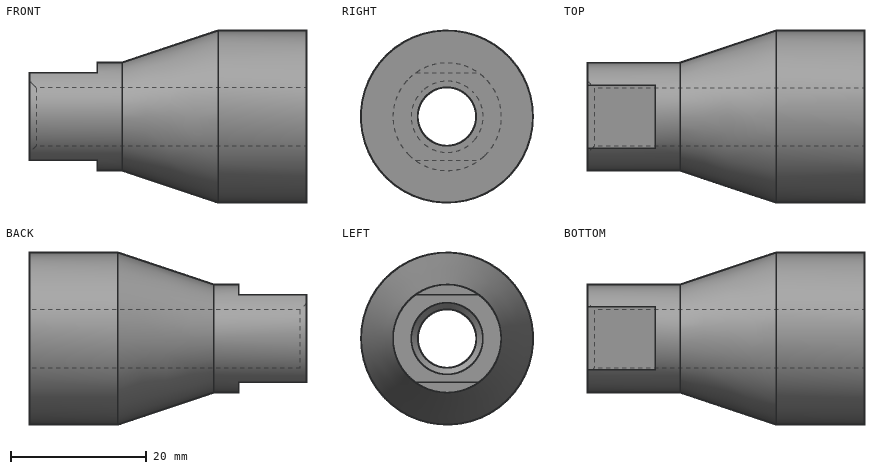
import cadquery as cq

total_length = 41.0
neck_length = 13.7
body_length = 13.1
cone_end = total_length - body_length

neck_diameter = 16.0
body_diameter = 25.5
bore_diameter = 8.6

flat_length = 10.0
width_across_flats = 13.0

bore_chamfer = 1.0


def make_turned_body():
    """Neck, cone and body, revolved about the X axis."""
    neck_radius = neck_diameter / 2
    body_radius = body_diameter / 2
    return (
        cq.Workplane("XY")
        .moveTo(0, 0)
        .lineTo(0, neck_radius)
        .lineTo(neck_length, neck_radius)
        .lineTo(cone_end, body_radius)
        .lineTo(total_length, body_radius)
        .lineTo(total_length, 0)
        .close()
        .revolve(360, (0, 0, 0), (1, 0, 0))
    )


def make_bore():
    """Through bore with a conical mouth at the neck end."""
    bore_radius = bore_diameter / 2
    return (
        cq.Workplane("XY")
        .moveTo(0, 0)
        .lineTo(0, bore_radius + bore_chamfer)
        .lineTo(bore_chamfer, bore_radius)
        .lineTo(total_length, bore_radius)
        .lineTo(total_length, 0)
        .close()
        .revolve(360, (0, 0, 0), (1, 0, 0))
    )


def make_flat_cutter(side):
    """Block that removes the neck beyond one flat; side is +1 (top) or -1 (bottom)."""
    cut_height = neck_diameter / 2
    cut_center_z = side * (width_across_flats / 2 + cut_height / 2)
    return (
        cq.Workplane("XY")
        .box(flat_length, neck_diameter, cut_height)
        .translate((flat_length / 2, 0, cut_center_z))
    )


result = make_turned_body().cut(make_bore())
for flat_side in (1, -1):
    result = result.cut(make_flat_cutter(flat_side))